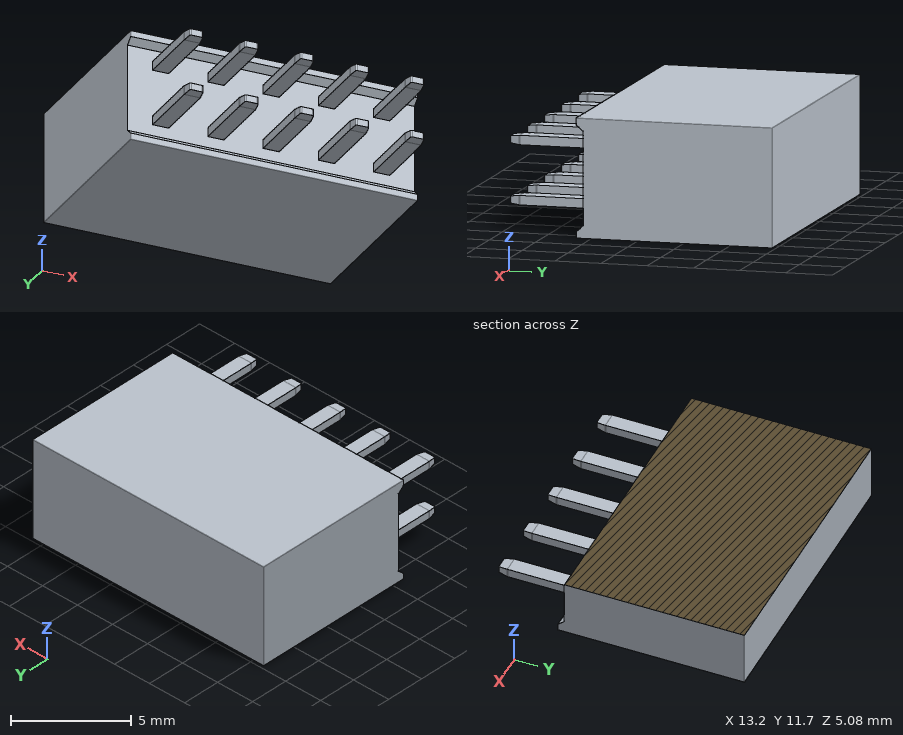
import cadquery as cq

length = 13.2
height = 5.08
overall_depth = 11.7
housing_depth = 8.49
edge_radius = 0.01
channel_depth = 0.3
rail_tip_height = 0.29
rail_root_height = 0.55

pin_columns = 5
pin_rows = 2
pitch = height / 2
pin_width = 0.74
pin_height = 0.41
tip_length = 0.44
tip_width = 0.6
tip_height = 0.3
tip_corner_radius = 0.07
taper_blend_radius = 0.26
root_overlap = 0.13

pin_end_y = housing_depth - overall_depth
tip_start_y = pin_end_y + tip_length
pin_root_y = channel_depth + root_overlap


def make_housing():
    """Rounded block centred on X and Z, with a flared channel cut along X."""
    block = (
        cq.Workplane("XY")
        .box(length, housing_depth, height)
        .translate((0, housing_depth / 2, 0))
        .edges()
        .fillet(edge_radius)
    )
    mouth_half_height = height / 2 - rail_tip_height
    floor_half_height = height / 2 - rail_root_height
    channel = (
        cq.Workplane("YZ")
        .polyline(
            [
                (0, -mouth_half_height),
                (0, mouth_half_height),
                (channel_depth, floor_half_height),
                (channel_depth, -floor_half_height),
            ]
        )
        .close()
        .extrude(length / 2, both=True)
    )
    return block.cut(channel)


def tapered_outline(full_size, end_size):
    """Outline of a pin as (across, along Y) points, narrowing over its tip."""
    return [
        (-full_size / 2, pin_root_y),
        (full_size / 2, pin_root_y),
        (full_size / 2, tip_start_y),
        (end_size / 2, pin_end_y),
        (-end_size / 2, pin_end_y),
        (-full_size / 2, tip_start_y),
    ]


def make_pin():
    """Pin along -Y: a plan outline with rounded tip corners, thinned by a side outline."""
    plan = (
        cq.Workplane("XY")
        .polyline(tapered_outline(pin_width, tip_width))
        .close()
        .extrude(pin_height / 2, both=True)
    )
    plan = plan.faces("<Y").edges("|Z").fillet(tip_corner_radius)
    around_taper_start = cq.selectors.BoxSelector(
        (-pin_width, pin_end_y + tip_length / 2, -pin_height),
        (pin_width, pin_root_y - root_overlap, pin_height),
    )
    plan = plan.edges("|Z").edges(around_taper_start).fillet(taper_blend_radius)

    side_outline = [(y, z) for z, y in tapered_outline(pin_height, tip_height)]
    side = cq.Workplane("YZ").polyline(side_outline).close().extrude(pin_width / 2, both=True)
    return plan.intersect(side)


result = make_housing()
pin = make_pin()
for column in range(pin_columns):
    for row in range(pin_rows):
        pin_x = (column - (pin_columns - 1) / 2) * pitch
        pin_z = (row - (pin_rows - 1) / 2) * pitch
        result = result.union(pin.translate((pin_x, 0, pin_z)))